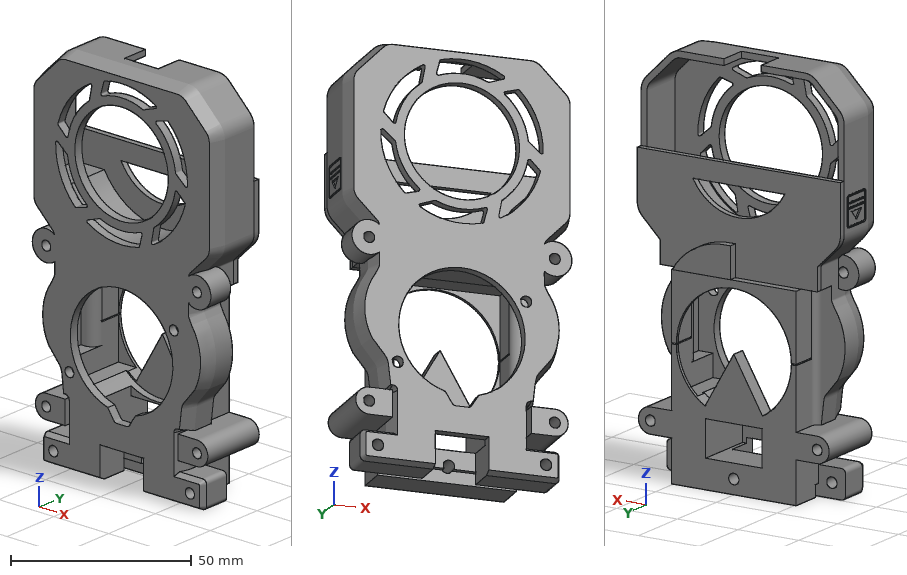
import cadquery as cq
import math

height = 123.8
width = 67.0
depth = 22.0
taper_depth = 5.0
taper_inset = 1.5
taper_angle = math.degrees(math.atan(taper_inset / taper_depth))
front_wall = 3.0
lower_depth = 12.0
shroud_start = 14.0
upper_depth = 17.5
plate_thickness = 2.0
plate_back = upper_depth + plate_thickness
wall = 2.0

half_width = width / 2
top_chamfer = 10.8
corner_radius = 6.0
shoulder_z = 76.7
neck_half_width = 25.9
neck_top_z = shoulder_z - (half_width - neck_half_width)
neck_bottom_z = 57.5
neck_radius = 1.0
lobe_top = (-26.9, 55.5)
lobe_side = (-30.2, 42.7)
lobe_bottom = (-27.9, 34.9)
waist_corner = (-23.4, 29.5)
waist_radius = 3.1
waist_half_width = 22.4
outline_bottom_z = 3.7
upper_base_z = 61.9

upper_bore_diameter = 34.0
upper_bore_z = 96.3
slot_count = 6
slot_inner_radius = 19.8
slot_outer_radius = 24.0
slot_corner_radius = 0.5
slot_start_outer, slot_start_inner = -15.5, -23.0
slot_end_outer, slot_end_inner = 33.5, 23.5
round_pocket_top_z = 84.2
round_pocket_radius = 24.4

lower_bore_diameter = 37.4
lower_bore_z = 40.6
chamber_radius = 19.5
chamber_half_width = 23.8
chamber_bottom_z = 33.4
chamber_top_z = upper_base_z - wall
notch_top_half_width = 6.0
notch_bottom_half_width = 2.5
notch_bottom_z = 18.7
notch_height = 5.3
notch_corner_radius = 1.2

shroud_half_width = 20.5
shroud_wall = 1.5
shroud_inner = shroud_half_width - shroud_wall
flare_radius = shroud_start - lower_depth
back_wall = 1.0
back_start = depth - back_wall
back_opening_diameter = 37.9
shroud_gap = 0.4
shelf_z = 26.4
tongue_half_angle = 30.0
tongue_start = 17.5

duct_half_width = 9.3
duct_back = 15.0
duct_top_z = 20.5
duct_overlap = 2.5
foot_height = 9.2

boss_x = 27.5
boss_z = 65.1
boss_radius = 5.1
boss_depth = 8.5
post_z = 17.2
post_radius = 4.0
mount_hole = 3.2
pin_hole_offset = (19.01, 11.0)
foot_half_width = 29.5
foot_depth = 10.4
foot_corner_radius = 1.5
foot_chamfer = 1.05
foot_chamfer_depth = 1.9
foot_hole = 3.3
foot_hole_x = 24.9
foot_hole_z = 4.6
foot_notch_half_width = 7.9
foot_notch_height = 10.8

top_notch_half_width = 6.13
top_notch_start = 8.5

panel_size = 9.5
panel_y = 11.08
panel_z = 85.2
panel_radius = 1.0
groove_width = 0.5
groove_depth = 0.5
bar_heights = (2.4, 0.9)
bar_length = 7.3
arrow_half_width = 2.5
arrow_top, arrow_tip = -0.4, -3.1

plate_top_z = 94.6
window_top_z = 88.4
scroll_left_x = 1.1
scroll_peak_x = 2.4
scroll_top_z = 71.7
scroll_end_x = 20.3
scroll_bulge = (13.6, 68.7)


def plane_at(y):
    """XZ sketch plane at depth y; positive extrusion runs toward the front."""
    return cq.Workplane("XZ", origin=(0, y, 0))


def block(x_min, x_max, y_min, y_max, z_min, z_max):
    size = (x_max - x_min, y_max - y_min, z_max - z_min)
    return cq.Workplane("XY").box(*size, centered=False).translate((x_min, y_min, z_min))


def centred_block(half, y_min, y_max, z_min, z_max):
    return block(-half, half, y_min, y_max, z_min, z_max)


def cylinder(x, z, radius, y_min, y_max):
    return plane_at(y_max).center(x, z).circle(radius).extrude(y_max - y_min)


def add_rounded_corner(path, before, corner, after, radius):
    """Line up to a corner and round it with a tangent arc."""
    here, toward_start, toward_end = (cq.Vector(*p) for p in (corner, before, after))
    incoming = (toward_start - here).normalized()
    outgoing = (toward_end - here).normalized()
    half_angle = incoming.getAngle(outgoing) / 2
    tangent_length = radius / math.tan(half_angle)
    middle_distance = radius / math.sin(half_angle) - radius
    start = here + incoming * tangent_length
    middle = here + (incoming + outgoing).normalized() * middle_distance
    end = here + outgoing * tangent_length
    return path.lineTo(start.x, start.y).threePointArc((middle.x, middle.y), (end.x, end.y))


def housing_outline(y):
    """Outer outline: the left half is drawn from the top down, then mirrored."""
    top_start = (0, height)
    top_corner = (-half_width + top_chamfer, height)
    side_top = (-half_width, height - top_chamfer)
    side_bottom = (-half_width, shoulder_z)
    neck_top = (-neck_half_width, neck_top_z)
    neck_bottom = (-neck_half_width, neck_bottom_z)
    waist_bottom = (-waist_half_width, post_z + post_radius)
    path = plane_at(y).moveTo(*top_start)
    path = add_rounded_corner(path, top_start, top_corner, side_top, corner_radius)
    path = add_rounded_corner(path, top_corner, side_top, side_bottom, corner_radius)
    path = add_rounded_corner(path, side_top, side_bottom, neck_top, corner_radius)
    path = add_rounded_corner(path, side_bottom, neck_top, neck_bottom, neck_radius)
    path = add_rounded_corner(path, neck_top, neck_bottom, lobe_top, neck_radius)
    path = path.lineTo(*lobe_top).threePointArc(lobe_side, lobe_bottom)
    path = add_rounded_corner(path, lobe_bottom, waist_corner, waist_bottom, waist_radius)
    path = path.lineTo(*waist_bottom).lineTo(-shroud_half_width, waist_bottom[1])
    path = path.lineTo(-shroud_half_width, outline_bottom_z).lineTo(0, outline_bottom_z)
    return path.mirrorY()


def outline_slab(y_min, y_max):
    return housing_outline(y_max).extrude(y_max - y_min)


def flare(side):
    """Concave fillet strip between the lower part and one shroud wall."""
    outer_x = side * (shroud_half_width + flare_radius)
    wall_x = side * shroud_half_width
    inset = flare_radius * (1 - math.sqrt(0.5))
    return (
        cq.Workplane("XY", origin=(0, 0, post_z))
        .moveTo(wall_x, lower_depth)
        .lineTo(outer_x, lower_depth)
        .threePointArc((wall_x + side * inset, lower_depth + inset), (wall_x, shroud_start))
        .close()
        .extrude(upper_base_z - post_z)
    )


def foot_bar():
    bar = centred_block(foot_half_width, 0, foot_depth, 0, foot_height)
    bar = bar.edges("|Y").fillet(foot_corner_radius)
    return bar.faces("<Y").chamfer(foot_chamfer, foot_chamfer_depth)


def slot():
    """Curved slot above the upper bore, with slanted ends."""
    def point(radius, degrees):
        angle = math.radians(degrees)
        return (radius * math.sin(angle), upper_bore_z + radius * math.cos(angle))

    return (
        plane_at(front_wall)
        .moveTo(*point(slot_outer_radius, slot_start_outer))
        .threePointArc(point(slot_outer_radius, 0), point(slot_outer_radius, slot_end_outer))
        .lineTo(*point(slot_inner_radius, slot_end_inner))
        .threePointArc(point(slot_inner_radius, 0), point(slot_inner_radius, slot_start_inner))
        .close()
        .extrude(front_wall)
        .edges("|Y")
        .fillet(slot_corner_radius)
    )


def upper_cavity():
    """Pocket open to the back: round below, following the outline above."""
    pocket = housing_outline(upper_depth).offset2D(-wall).extrude(upper_depth - front_wall)
    pocket = pocket.intersect(centred_block(half_width, 0, depth, round_pocket_top_z, height))
    return pocket.union(cylinder(0, upper_bore_z, round_pocket_radius, front_wall, upper_depth))


def lower_chamber():
    """Wide front chamber that narrows into the shroud over a rounded shoulder."""
    shoulder_y = lower_depth - shroud_wall
    round_radius = shroud_start - shoulder_y
    inset = round_radius * (1 - math.sqrt(0.5))
    wide_x = shroud_inner + round_radius
    chamber = cylinder(0, lower_bore_z, chamber_radius, front_wall, tongue_start)
    chamber = chamber.intersect(centred_block(shroud_inner, 0, depth, 0, chamber_top_z))
    chamber = chamber.union(
        centred_block(chamber_half_width, front_wall, shoulder_y, chamber_bottom_z, chamber_top_z)
    )
    throat = (
        cq.Workplane("XY", origin=(0, 0, chamber_bottom_z))
        .moveTo(0, shoulder_y)
        .lineTo(-wide_x, shoulder_y)
        .threePointArc((-shroud_inner - inset, shoulder_y + inset), (-shroud_inner, shroud_start))
        .lineTo(-shroud_inner, back_start)
        .lineTo(0, back_start)
        .mirrorY()
        .extrude(chamber_top_z - chamber_bottom_z)
    )
    narrow = centred_block(shroud_inner, front_wall, back_start, shelf_z, chamber_top_z)
    return chamber.union(throat).union(narrow)


def back_opening():
    return cylinder(0, lower_bore_z, back_opening_diameter / 2, tongue_start, depth)


def tongue():
    """Wedge whose tip points at the middle of the lower bore."""
    base_z = duct_top_z
    half_base = (lower_bore_z - base_z) * math.tan(math.radians(tongue_half_angle))
    corners = [(0, lower_bore_z), (half_base, base_z), (-half_base, base_z)]
    return plane_at(depth).polyline(corners).close().extrude(depth - tongue_start)


def bore_notch():
    """Notch below the lower bore, with slanted sides."""
    notch_top_z = notch_bottom_z + notch_height
    corners = [
        (-notch_top_half_width, notch_top_z),
        (notch_top_half_width, notch_top_z),
        (notch_bottom_half_width, notch_bottom_z),
        (-notch_bottom_half_width, notch_bottom_z),
    ]
    notch = plane_at(front_wall).polyline(corners).close().extrude(front_wall)
    return notch.edges("|Y and <Z").fillet(notch_corner_radius)


def side_panel():
    """Grooves of the panel in the left side: a frame, two bars and an arrow."""
    sketch = cq.Workplane("YZ", origin=(-half_width, panel_y, panel_z))
    inner_size = panel_size - 2 * groove_width
    frame = sketch.rect(panel_size, panel_size).extrude(groove_depth).edges("|X").fillet(panel_radius)
    grooves = frame.cut(sketch.rect(inner_size, inner_size).extrude(groove_depth))
    for bar_z in bar_heights:
        grooves = grooves.union(sketch.center(0, bar_z).rect(bar_length, groove_width).extrude(groove_depth))
    arrow = [(-arrow_half_width, arrow_top), (arrow_half_width, arrow_top), (0, arrow_tip)]
    return grooves.union(sketch.polyline(arrow).close().extrude(groove_depth))


def make_housing():
    body = housing_outline(taper_depth).extrude(taper_depth, taper=taper_angle)
    body = body.union(outline_slab(taper_depth, lower_depth))
    upper = outline_slab(lower_depth, upper_depth)
    body = body.union(upper.intersect(centred_block(half_width, 0, depth, upper_base_z, height)))
    body = body.union(centred_block(shroud_half_width, lower_depth, shroud_start, 0, upper_base_z))
    body = body.union(
        centred_block(shroud_half_width, shroud_start, depth, 0, lower_bore_z - shroud_gap / 2)
    )
    body = body.union(foot_bar())
    for side in (-1, 1):
        post_x = side * boss_x
        web_ends = sorted((post_x, side * shroud_half_width))
        body = body.union(flare(side))
        body = body.union(cylinder(post_x, boss_z, boss_radius, 0, boss_depth))
        body = body.union(cylinder(post_x, post_z, post_radius, 0, depth))
        body = body.union(block(*web_ends, 0, depth, post_z - post_radius, post_z + post_radius))

    body = body.cut(upper_cavity())
    body = body.cut(lower_chamber()).cut(back_opening()).union(tongue())
    body = body.cut(cylinder(0, upper_bore_z, upper_bore_diameter / 2, 0, front_wall))
    body = body.cut(cylinder(0, lower_bore_z, lower_bore_diameter / 2, 0, front_wall))
    body = body.cut(bore_notch())
    for index in range(slot_count):
        turn = index * 360 / slot_count
        body = body.cut(slot().rotate((0, 0, upper_bore_z), (0, 1, upper_bore_z), turn))

    duct_mouth_z = lower_bore_z - chamber_radius + duct_overlap
    body = body.cut(centred_block(duct_half_width, front_wall, duct_back, foot_height, duct_mouth_z))
    body = body.cut(centred_block(duct_half_width, duct_back, depth, foot_height, duct_top_z))
    body = body.cut(centred_block(foot_notch_half_width, 0, foot_depth, 0, foot_notch_height))
    body = body.cut(
        centred_block(top_notch_half_width, top_notch_start, upper_depth, height - wall, height)
    )
    for side in (-1, 1):
        for hole_z in (boss_z, post_z):
            body = body.cut(cylinder(side * boss_x, hole_z, mount_hole / 2, 0, depth))
        pin_x, pin_z = (side * offset for offset in pin_hole_offset)
        body = body.cut(cylinder(pin_x, lower_bore_z + pin_z, mount_hole / 2, 0, front_wall))
    for hole_x in (-foot_hole_x, 0, foot_hole_x):
        body = body.cut(cylinder(hole_x, foot_hole_z, foot_hole / 2, 0, depth))
    return body.cut(side_panel())


def make_rear_plate():
    plate = outline_slab(upper_depth, plate_back)
    plate = plate.intersect(centred_block(half_width, 0, depth, upper_base_z, plate_top_z))
    window = cylinder(0, upper_bore_z, upper_bore_diameter / 2, upper_depth, plate_back)
    window = window.intersect(centred_block(half_width, 0, depth, upper_base_z, window_top_z))
    scroll = (
        plane_at(depth)
        .moveTo(scroll_left_x, upper_base_z)
        .lineTo(scroll_left_x, scroll_top_z)
        .lineTo(scroll_peak_x, scroll_top_z)
        .threePointArc(scroll_bulge, (scroll_end_x, upper_base_z))
        .close()
        .extrude(depth - plate_back)
    )
    return plate.cut(window).union(scroll)


def make_shroud_cap():
    cap = centred_block(
        shroud_half_width, shroud_start, depth, lower_bore_z + shroud_gap / 2, upper_base_z
    )
    return cap.cut(lower_chamber()).cut(back_opening())


housing = make_housing()
rear_plate = make_rear_plate()
shroud_cap = make_shroud_cap()

result = cq.Compound.makeCompound([housing.val(), rear_plate.val(), shroud_cap.val()])